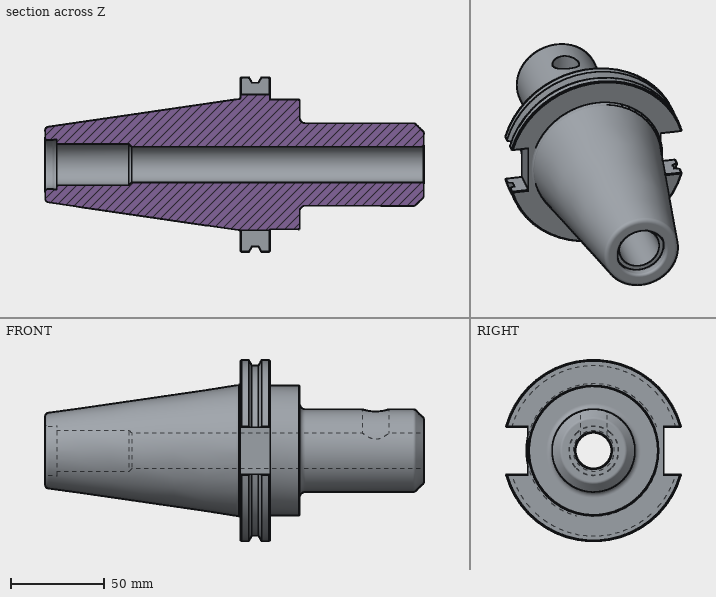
import cadquery as cq
import math


gauge_dia = 69.85
taper_length = 101.6
taper_ratio = 7 / 24
taper_end_round = 2.3
neck_dia = 70.2
neck_fillet = 1.0

flange_dia = 97.39
flange_start = 3.2
flange_end = 19.1
flange_edge_chamfer = 0.6

groove_center = 11.1
groove_floor_dia = 91.5
groove_floor_width = 3.5
groove_side_angle = 30

slot_width = 25.2
slot_edge_chamfer = 0.5
slot_floor_front = 35.3
slot_floor_back = 37.7

collar_dia = 69.85
collar_end = 35.0
collar_chamfer = 0.5
shank_dia = 44.45
shank_end = 101.62
shank_root_fillet = 3.0
shank_chamfer_length = 5.0
shank_chamfer_height = 4.8
shank_chamfer_round = 1.5
shank_end_round = 1.8

cross_hole_dia = 14.35
cross_hole_from_end = 26.0

pilot_dia = 26.2
pilot_depth = 6.2
pilot_mouth_round = 1.4
pilot_relief_dia = 26.7
pilot_relief_start = 4.1
pilot_relief_taper_length = 0.9
thread_dia = 21.97
thread_depth = 45.0
bore_dia = 19.05
bore_exit_dia = 20.05


def turned_body():
    """Taper, neck, flange blank, collar and shank as one revolved outline."""
    taper_end_radius = (gauge_dia - taper_length * taper_ratio) / 2
    neck_radius = neck_dia / 2
    neck_start = (neck_dia - gauge_dia) / taper_ratio
    flange_radius = flange_dia / 2
    collar_radius = collar_dia / 2
    shank_radius = shank_dia / 2
    chamfer_start = shank_end - shank_chamfer_length
    outline = (
        cq.Workplane("XY")
        .moveTo(-taper_length, 0)
        .lineTo(-taper_length, taper_end_radius)
        .lineTo(neck_start, neck_radius)
        .lineTo(flange_start - neck_fillet, neck_radius)
        .radiusArc((flange_start, neck_radius + neck_fillet), -neck_fillet)
        .lineTo(flange_start, flange_radius - flange_edge_chamfer)
        .lineTo(flange_start + flange_edge_chamfer, flange_radius)
        .lineTo(flange_end - flange_edge_chamfer, flange_radius)
        .lineTo(flange_end, flange_radius - flange_edge_chamfer)
        .lineTo(flange_end, collar_radius)
        .lineTo(collar_end - collar_chamfer, collar_radius)
        .lineTo(collar_end, collar_radius - collar_chamfer)
        .lineTo(collar_end, shank_radius + shank_root_fillet)
        .radiusArc((collar_end + shank_root_fillet, shank_radius), -shank_root_fillet)
        .lineTo(chamfer_start, shank_radius)
        .lineTo(shank_end, shank_radius - shank_chamfer_height)
        .lineTo(shank_end, 0)
        .close()
    )
    body = outline.revolve(360, (0, 0, 0), (1, 0, 0))
    body = body.faces("<X").edges().fillet(taper_end_round)
    body = body.faces(">X").edges().fillet(shank_end_round)
    chamfer_edge = cq.selectors.NearestToPointSelector((chamfer_start, 0, 0))
    return body.edges(chamfer_edge).fillet(shank_chamfer_round)


def flange_groove():
    """Ring of material removed by the V-groove."""
    floor_radius = groove_floor_dia / 2
    lip_radius = flange_dia / 2
    half_floor = groove_floor_width / 2
    half_lip = half_floor + (lip_radius - floor_radius) * math.tan(math.radians(groove_side_angle))
    return (
        cq.Workplane("XY")
        .moveTo(groove_center - half_floor, floor_radius)
        .lineTo(groove_center - half_lip, lip_radius)
        .lineTo(groove_center + half_lip, lip_radius)
        .lineTo(groove_center + half_floor, floor_radius)
        .close()
        .revolve(360, (0, 0, 0), (1, 0, 0))
    )


def cut_drive_slot(body, side, floor_distance):
    """Cut one drive slot and bevel its walls; side is +1 for +Y and -1 for -Y."""
    flange_width = flange_end - flange_start
    depth = flange_dia / 2 - floor_distance
    slot = (
        cq.Workplane("XY")
        .box(flange_width, depth, slot_width, centered=(False, True, True))
        .translate((flange_start, side * (floor_distance + depth / 2), 0))
    )
    body = body.cut(slot)
    flange_middle = (flange_start + flange_end) / 2
    for wall_z in (-slot_width / 2, slot_width / 2):
        wall_center = (flange_middle, side * (floor_distance + depth / 2), wall_z)
        floor_edge_center = (flange_middle, side * floor_distance, wall_z)
        wall_edges = body.faces(cq.selectors.NearestToPointSelector(wall_center)).edges()
        floor_edge = cq.selectors.NearestToPointSelector(floor_edge_center)
        floor_edges = wall_edges.edges(floor_edge).vals()
        outer_edges = [edge for edge in wall_edges.vals() if not any(edge.isSame(f) for f in floor_edges)]
        body = body.newObject(outer_edges).chamfer(slot_edge_chamfer)
    return body


def stepped_bore():
    """Relieved pilot with a rounded mouth, tapping bore and chamfered through bore along X."""
    small_end = -taper_length
    pilot_radius = pilot_dia / 2
    relief_radius = pilot_relief_dia / 2
    relief_start = small_end + pilot_relief_start
    pilot_floor = small_end + pilot_depth
    thread_end = small_end + thread_depth
    thread_runout = (thread_dia - bore_dia) / 2
    exit_chamfer = (bore_exit_dia - bore_dia) / 2
    return (
        cq.Workplane("XY")
        .moveTo(small_end, 0)
        .lineTo(small_end, pilot_radius + pilot_mouth_round)
        .radiusArc((small_end + pilot_mouth_round, pilot_radius), -pilot_mouth_round)
        .lineTo(relief_start, pilot_radius)
        .lineTo(relief_start + pilot_relief_taper_length, relief_radius)
        .lineTo(pilot_floor, relief_radius)
        .lineTo(pilot_floor, thread_dia / 2)
        .lineTo(thread_end, thread_dia / 2)
        .lineTo(thread_end + thread_runout, bore_dia / 2)
        .lineTo(shank_end - exit_chamfer, bore_dia / 2)
        .lineTo(shank_end, bore_exit_dia / 2)
        .lineTo(shank_end, 0)
        .close()
        .revolve(360, (0, 0, 0), (1, 0, 0))
    )


def cross_hole():
    """Radial hole from the top of the shank into the bore."""
    return (
        cq.Workplane("XY")
        .center(shank_end - cross_hole_from_end, 0)
        .circle(cross_hole_dia / 2)
        .extrude(shank_dia / 2)
    )


result = turned_body()
result = cut_drive_slot(result, -1, slot_floor_front)
result = cut_drive_slot(result, 1, slot_floor_back)
result = result.cut(flange_groove()).cut(stepped_bore()).cut(cross_hole())